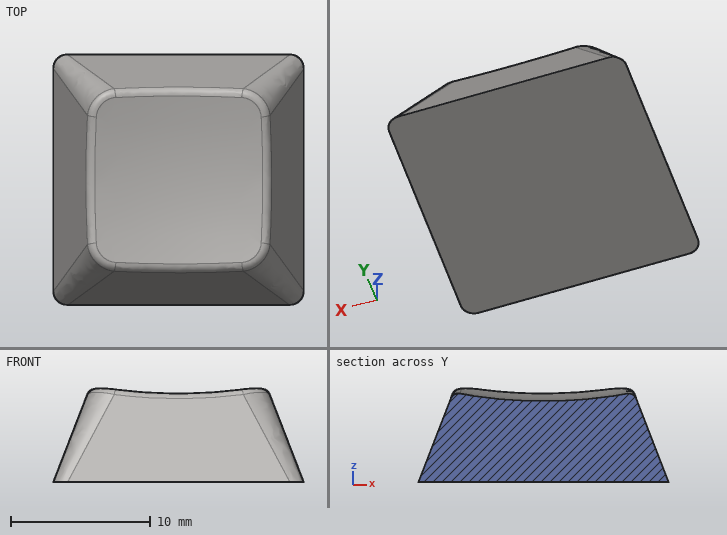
import cadquery as cq

base_width = 18.0
base_corner_radius = 1.0
taper_height = 8.0
taper_top_width = 11.8
taper_top_corner_radius = 2.16

dish_radius = 33.84
dish_bottom_height = 5.83

rim_fillet = 0.58


def rounded_square(width, corner_radius):
    return cq.Sketch().rect(width, width).vertices().fillet(corner_radius)


def tapered_body():
    base = rounded_square(base_width, base_corner_radius)
    top = rounded_square(taper_top_width, taper_top_corner_radius)
    raised_top = top.moved(cq.Location(cq.Vector(0, 0, taper_height)))
    return cq.Workplane("XY").placeSketch(base, raised_top).loft()


def dish_sphere():
    centre_height = dish_bottom_height + dish_radius
    return cq.Workplane("XZ", origin=(0, 0, centre_height)).sphere(dish_radius)


dished_body = tapered_body().cut(dish_sphere())
result = dished_body.faces("%SPHERE").edges().fillet(rim_fillet)